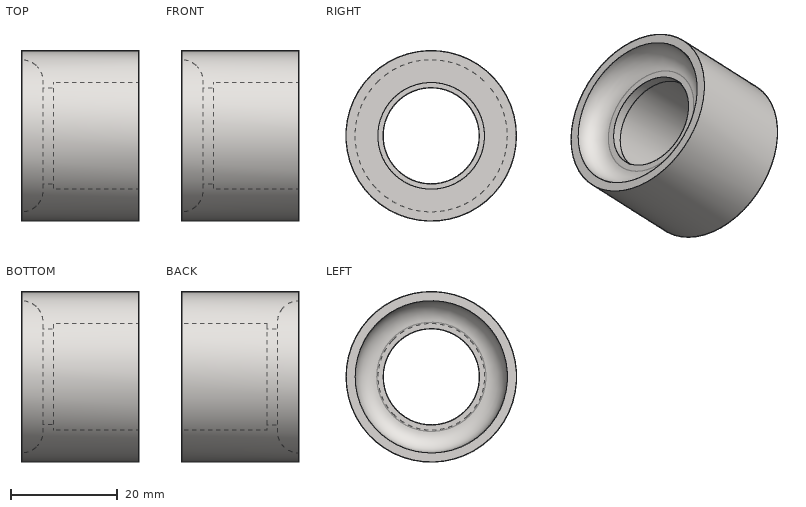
import cadquery as cq

length = 22.0
outer_diameter = 32.0
mouth_diameter = 28.55
seat_diameter = 20.48
bore_diameter = 18.0
counterbore_diameter = 20.0
land_length = 2.0

outer_radius = outer_diameter / 2
mouth_radius = mouth_diameter / 2
seat_radius = seat_diameter / 2
bore_radius = bore_diameter / 2
counterbore_radius = counterbore_diameter / 2

dish_depth = mouth_radius - seat_radius
diagonal = 0.5 ** 0.5

mouth_x = -length / 2
dish_floor_x = mouth_x + dish_depth
land_end_x = dish_floor_x + land_length
dish_middle = (
    mouth_x + dish_depth * diagonal,
    seat_radius + dish_depth * diagonal,
)

half_section = (
    cq.Workplane("XY")
    .moveTo(mouth_x, outer_radius)
    .lineTo(mouth_x, mouth_radius)
    .threePointArc(dish_middle, (dish_floor_x, seat_radius))
    .lineTo(dish_floor_x, bore_radius)
    .lineTo(land_end_x, bore_radius)
    .lineTo(land_end_x, counterbore_radius)
    .lineTo(length / 2, counterbore_radius)
    .lineTo(length / 2, outer_radius)
    .close()
)

result = half_section.revolve(360, (0, 0, 0), (1, 0, 0))